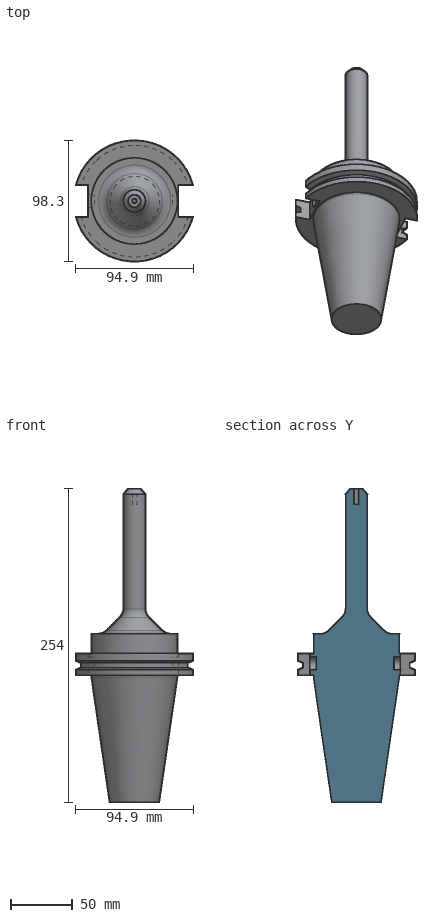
import cadquery as cq
import math

total_height = 254.0

gauge_diameter = 69.8
gauge_radius = gauge_diameter / 2
taper_length = 101.5
taper_small_radius = gauge_radius - taper_length * 7 / 48

flange_diameter = 98.3
flange_radius = flange_diameter / 2
flange_bottom = 102.9
flange_top = 120.6
groove_center = 111.0
groove_mouth_width = 7.0
groove_floor_width = 3.8
groove_floor_radius = 45.2

slot_width = 25.7
slot_floor_left = -37.5
slot_floor_right = 35.5
slot_hole_diameter = 10.2
slot_hole_height = 112.8
slot_hole_depth = 5.0

collar_top = 136.7
cone_foot_radius = 29.2
blend_radius = 9.7
shaft_diameter = 18.0
shaft_radius = shaft_diameter / 2
tip_radius = 5.0
tip_height = 4.5
bore_diameter = 3.5
bore_depth = 12.7


def revolved_body():
    """Revolve the half profile of the holder around Z."""
    blend_long = blend_radius * math.sin(math.radians(45))
    blend_short = blend_radius - blend_long
    mid_long = blend_radius * math.sin(math.radians(22.5))
    mid_short = blend_radius * (1 - math.cos(math.radians(22.5)))

    cone_low_radius = cone_foot_radius - blend_long
    cone_low = collar_top + blend_short
    cone_high_radius = shaft_radius + blend_short
    cone_high = cone_low + cone_low_radius - cone_high_radius
    shaft_bottom = cone_high + blend_long

    profile = (
        cq.Workplane("XZ")
        .lineTo(taper_small_radius, 0)
        .lineTo(gauge_radius, taper_length)
        .lineTo(gauge_radius, flange_bottom)
        .lineTo(flange_radius, flange_bottom)
        .lineTo(flange_radius, groove_center - groove_mouth_width / 2)
        .lineTo(groove_floor_radius, groove_center - groove_floor_width / 2)
        .lineTo(groove_floor_radius, groove_center + groove_floor_width / 2)
        .lineTo(flange_radius, groove_center + groove_mouth_width / 2)
        .lineTo(flange_radius, flange_top)
        .lineTo(gauge_radius, flange_top)
        .lineTo(gauge_radius, collar_top)
        .lineTo(cone_foot_radius, collar_top)
        .threePointArc(
            (cone_foot_radius - mid_long, collar_top + mid_short),
            (cone_low_radius, cone_low),
        )
        .lineTo(cone_high_radius, cone_high)
        .threePointArc(
            (shaft_radius + mid_short, shaft_bottom - mid_long),
            (shaft_radius, shaft_bottom),
        )
        .lineTo(shaft_radius, total_height - tip_height)
        .lineTo(tip_radius, total_height)
        .lineTo(0, total_height)
        .close()
    )
    return profile.revolve(360, (0, 0, 0), (0, 1, 0))


def drive_slot(floor_x):
    """Slot cutter through the flange height, outward from its floor, with a blind hole in the floor."""
    side = math.copysign(1, floor_x)
    slot_length = flange_radius
    slot = cq.Workplane("XY").box(
        slot_length, slot_width, flange_top - flange_bottom, centered=(True, True, False)
    )
    slot = slot.translate((floor_x + side * slot_length / 2, 0, flange_bottom))
    hole = (
        cq.Workplane("YZ", origin=(floor_x, 0, slot_hole_height))
        .circle(slot_hole_diameter / 2)
        .extrude(-side * slot_hole_depth)
    )
    return slot.union(hole)


def tip_bore():
    """Blind bore down the axis from the shaft tip."""
    return (
        cq.Workplane("XY", origin=(0, 0, total_height))
        .circle(bore_diameter / 2)
        .extrude(-bore_depth)
    )


result = revolved_body()
for slot_floor in (slot_floor_left, slot_floor_right):
    result = result.cut(drive_slot(slot_floor))
result = result.cut(tip_bore())